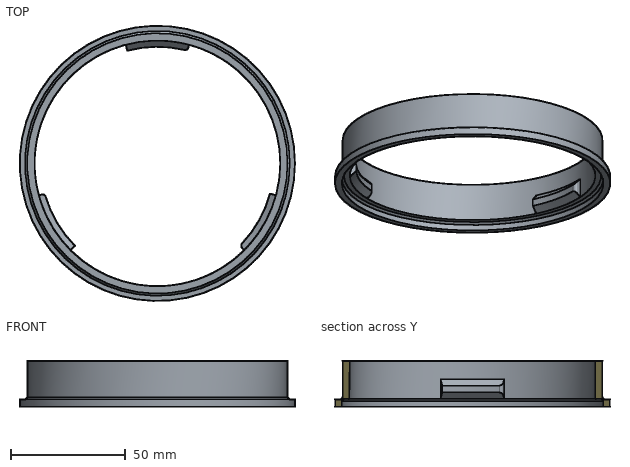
import cadquery as cq

full_turn = 360.0

height = 20.0
flange_radius = 60.0
flange_height = 3.2
sleeve_radius = 56.7
bore_radius = 53.5

foot_size = 1.0

recess_radius = 57.0
recess_depth = 3.5
recess_chamfer = foot_size

lug_count = 3
lug_first_angle = 90.0
lug_span = 30.0
lug_reach = 2.75
lug_tip_height = 3.0
lug_bottom = recess_depth
lug_overlap = 1.0
lug_corner_radius = 1.5


def make_ring():
    """Sleeve, foot and recessed flange turned as one profile about Z."""
    foot_top = flange_height + foot_size
    return (
        cq.Workplane("XZ")
        .moveTo(recess_radius, 0)
        .lineTo(flange_radius, 0)
        .lineTo(flange_radius, flange_height)
        .lineTo(sleeve_radius + foot_size, flange_height)
        .lineTo(sleeve_radius, foot_top)
        .lineTo(sleeve_radius, height)
        .lineTo(bore_radius, height)
        .lineTo(bore_radius, recess_depth)
        .lineTo(recess_radius - recess_chamfer, recess_depth)
        .lineTo(recess_radius, recess_depth - recess_chamfer)
        .close()
        .revolve(full_turn, (0, 0, 0), (0, 1, 0))
    )


def make_lug():
    """Lug running counterclockwise from the +X axis, with its first inner corner rounded."""
    tip_radius = bore_radius - lug_reach
    root_radius = bore_radius + lug_overlap
    tip_bottom = lug_bottom + lug_reach
    tip_top = tip_bottom + lug_tip_height
    root_top = tip_top + lug_reach
    lug = (
        cq.Workplane("XZ")
        .moveTo(tip_radius, tip_bottom)
        .lineTo(bore_radius, lug_bottom)
        .lineTo(root_radius, lug_bottom)
        .lineTo(root_radius, root_top)
        .lineTo(bore_radius, root_top)
        .lineTo(tip_radius, tip_top)
        .close()
        .revolve(lug_span, (0, 0, 0), (0, 1, 0))
    )
    first_corner = cq.selectors.NearestToPointSelector((tip_radius, 0, (tip_bottom + tip_top) / 2))
    return lug.edges("|Z").edges(first_corner).fillet(lug_corner_radius)


result = make_ring()
for index in range(lug_count):
    start_angle = lug_first_angle - lug_span / 2 + index * full_turn / lug_count
    result = result.union(make_lug().rotate((0, 0, 0), (0, 0, 1), start_angle))